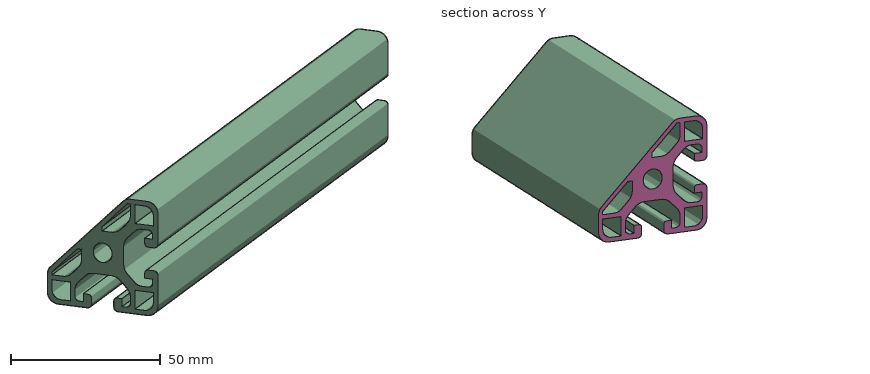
import cadquery as cq
import math

side = 40.0
length = 200.0
half = side / 2
bevel_offset = 11.5
outer_radius = 4.0
bevel_radius = 4.0

mouth_half = 4.0
lip_depth = 4.8
hook_half = 7.0
lip_wall = 2.0
slot_half = 10.0
slot_floor = 7.5
web_offset = 2.5
floor_radius = 4.5
chamber_radius = 4.0
pocket_radius = 1.5
lip_outer_radius = 1.5
lip_inner_radius = 1.2

wall = 1.7
bevel_wall = 1.5
hole_radius = 3.5
cell_near = slot_half + wall
cell_far = half - wall
cell_radius = 3.2
cavity_end = 0.2
cavity_offset = bevel_offset - bevel_wall * math.sqrt(2)


def rounded_polygon(corners):
    """Full-length prism from (x, z, corner radius) entries; radius 0 is a sharp corner."""
    outline = None
    for i, (x, z, radius) in enumerate(corners):
        corner = cq.Vector(x, z)
        before = cq.Vector(*corners[i - 1][:2])
        after = cq.Vector(*corners[(i + 1) % len(corners)][:2])
        to_before = (before - corner).normalized()
        to_after = (after - corner).normalized()
        half_angle = to_before.getAngle(to_after) / 2
        setback = radius / math.tan(half_angle)
        start = corner + to_before * setback
        if outline is None:
            outline = cq.Workplane("XZ").moveTo(start.x, start.y)
        else:
            outline = outline.lineTo(start.x, start.y)
        if radius > 0:
            bisector = (to_before + to_after).normalized()
            middle = corner + bisector * (radius / math.sin(half_angle) - radius)
            end = corner + to_after * setback
            outline = outline.threePointArc((middle.x, middle.y), (end.x, end.y))
    return outline.close().extrude(length / 2, both=True)


def mirrored(corners):
    """The same corners reflected across the bar's symmetry line z = -x, in reverse order."""
    return [(-z, -x, radius) for x, z, radius in reversed(corners)]


def slot_flank_corners():
    """Upper half of the +X slot, from the mouth inwards to the floor."""
    lip_inner = half - lip_depth
    pocket = half - lip_wall
    return [
        (half, mouth_half, lip_outer_radius),
        (lip_inner, mouth_half, lip_inner_radius),
        (lip_inner, hook_half, 0),
        (pocket, hook_half, 0),
        (pocket, slot_half, pocket_radius),
        (slot_half + web_offset, slot_half, chamber_radius),
        (slot_floor, slot_floor - web_offset, floor_radius),
    ]


def outer_bar():
    """Outer outline of the bar, including both T-slots."""
    upper = slot_flank_corners()
    lower = [(x, -z, radius) for x, z, radius in reversed(upper)]
    right_half = [
        (half - bevel_offset, half, bevel_radius),
        (half, half, outer_radius),
        *upper,
        *lower,
    ]
    square_corner = (half, -half, outer_radius)
    return rounded_polygon(right_half + [square_corner] + mirrored(right_half))


def corner_cell(x_sign, z_sign):
    """Square chamber in a corner of the bar, rounded only at its outer corner."""
    corners = [
        (cell_near, cell_near, 0),
        (cell_far, cell_near, 0),
        (cell_far, cell_far, cell_radius),
        (cell_near, cell_far, 0),
    ]
    return rounded_polygon([(x_sign * x, z_sign * z, radius) for x, z, radius in corners])


def bevel_cavity_corners():
    """Corners of the long cavity between the sloping face and the upper diagonal web."""
    return [
        (slot_floor - web_offset, slot_floor, floor_radius),
        (slot_half, slot_half + web_offset, chamber_radius),
        (slot_half, cell_far, 0),
        (cell_far - cavity_offset, cell_far, 0),
        (-cavity_end, cavity_offset - cavity_end, 0),
        (-cavity_end, slot_floor, 0),
    ]


result = outer_bar()
for x_sign, z_sign in [(1, 1), (1, -1), (-1, -1)]:
    result = result.cut(corner_cell(x_sign, z_sign))
for cavity in [bevel_cavity_corners(), mirrored(bevel_cavity_corners())]:
    result = result.cut(rounded_polygon(cavity))
centre_hole = cq.Workplane("XZ").circle(hole_radius).extrude(length / 2, both=True)
result = result.cut(centre_hole)